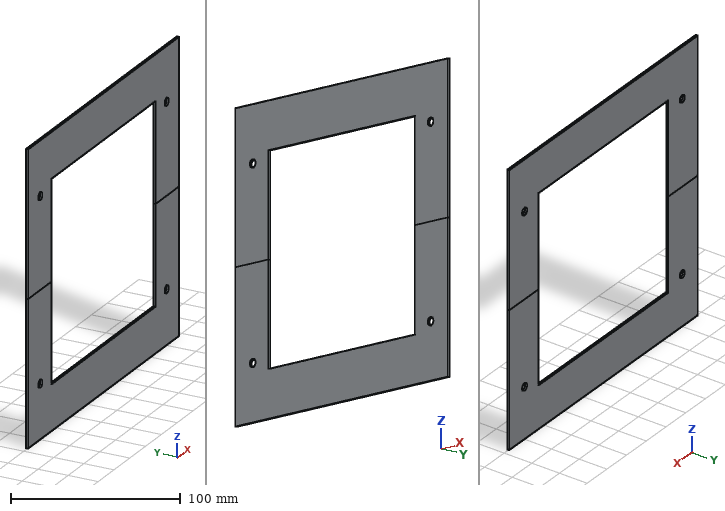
import cadquery as cq

frame_size = 191.5
rim_width = 30.0
window_size = frame_size - 2 * rim_width
thickness = 1.5

hole_diameter = 5.0
hole_spacing_x = 160.0
hole_spacing_z = 120.0

half_height = frame_size / 2
half_window = window_size / 2


def half_frame(side):
    """One U-shaped half: side is +1 for the upper half, -1 for the lower half."""
    blank = cq.Workplane("XY").box(frame_size, thickness, half_height)
    blank = blank.translate((0, 0, side * half_height / 2))

    window = cq.Workplane("XY").box(window_size, thickness, half_window)
    window = window.translate((0, 0, side * half_window / 2))

    hole_centres = [(x_side * hole_spacing_x / 2, side * hole_spacing_z / 2) for x_side in (-1, 1)]
    holes = (
        cq.Workplane("XZ")
        .pushPoints(hole_centres)
        .circle(hole_diameter / 2)
        .extrude(thickness / 2, both=True)
    )
    return blank.cut(window).cut(holes)


half_frames = [half_frame(side) for side in (1, -1)]

result = cq.Compound.makeCompound([half.val() for half in half_frames])